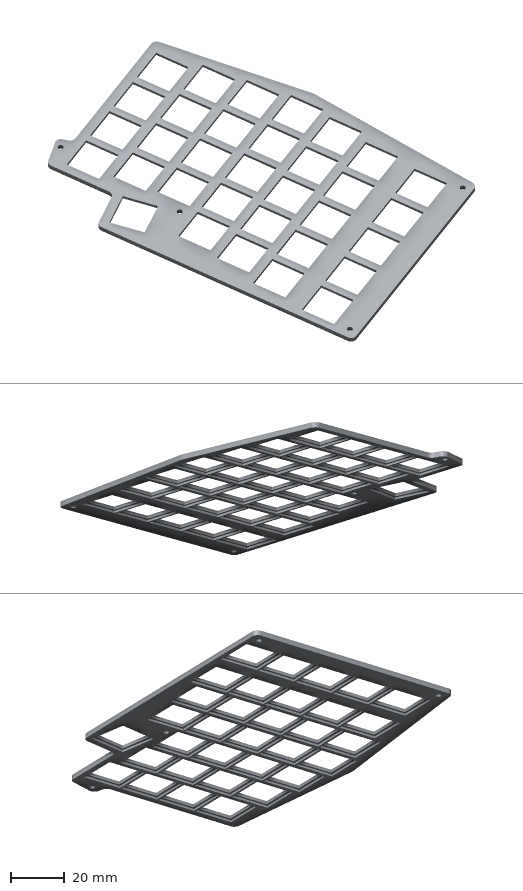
import cadquery as cq
import math

plate_width = 146.2
plate_depth = 98.0
thickness = 2.0
corner_radius = 2.27
right_x = plate_width / 2
left_x = -67.5
front_y = -plate_depth / 2
apex_x = -2.5
apex_y = plate_depth / 2
back_left_y = 41.2
back_right_y = 41.1

ear_tilt = 15.0
ear_corner_y = -19.3
step_y = -32.3
thumb_angle = 10.0
step_x = -41.2

key_size = 14.0
relief_size = 16.1
relief_height = 0.8
six_column_span = 90.0
column_pitch = six_column_span / 5
five_row_span = 68.0
row_pitch = five_row_span / 4
first_column_x = -56.6
outer_column_x = 56.0
thumb_center = (-29.4, -37.3)

columns = [
    (first_column_x, 29.2, 4),
    (first_column_x + column_pitch, 33.0, 4),
    (first_column_x + 2 * column_pitch, 35.0, 4),
    (first_column_x + 3 * column_pitch, 37.0, 5),
    (first_column_x + 4 * column_pitch, 35.0, 5),
    (first_column_x + 5 * column_pitch, 31.1, 5),
    (outer_column_x, 29.1, 5),
]

screw_diameter = 2.2
screw_points = [(69.3, 37.1), (69.3, -45.0), (-15.4, -27.3), (-70.0, -22.5)]


def make_plate():
    """Extrude the outline and round every corner."""
    tilt = math.radians(ear_tilt)
    ear_overhang = corner_radius * (math.cos(tilt) + math.sin(tilt) - 1)
    ear_corner_x = -plate_width / 2 - ear_overhang
    ear_slope = math.tan(tilt)
    ear_back_y = ear_corner_y + (left_x - ear_corner_x) * ear_slope
    ear_front_x = ear_corner_x + (ear_corner_y - step_y) * ear_slope
    thumb_front_x = step_x + (step_y - front_y) * math.tan(math.radians(thumb_angle))
    outline = [
        (apex_x, apex_y),
        (right_x, back_right_y),
        (right_x, front_y),
        (thumb_front_x, front_y),
        (step_x, step_y),
        (ear_front_x, step_y),
        (ear_corner_x, ear_corner_y),
        (left_x, ear_back_y),
        (left_x, back_left_y),
    ]
    plate = cq.Workplane("XY").polyline(outline).close().extrude(thickness)
    return plate.edges("|Z").fillet(corner_radius)


def key_cutter():
    """Square switch opening with a wider relief on the underside."""
    opening = cq.Workplane("XY").rect(key_size, key_size).extrude(thickness)
    relief = cq.Workplane("XY").rect(relief_size, relief_size).extrude(relief_height)
    return opening.union(relief)


def cut_keys(plate):
    """Cut the staggered columns and the turned thumb key."""
    cutter = key_cutter()
    for x, back_y, count in columns:
        for row in range(count):
            plate = plate.cut(cutter.translate((x, back_y - row * row_pitch, 0)))
    thumb_cutter = cutter.rotate((0, 0, 0), (0, 0, 1), thumb_angle)
    return plate.cut(thumb_cutter.translate((*thumb_center, 0)))


def screw_cutters():
    """Round through cutters for the screws."""
    return cq.Workplane("XY").pushPoints(screw_points).circle(screw_diameter / 2).extrude(thickness)


result = cut_keys(make_plate()).cut(screw_cutters())